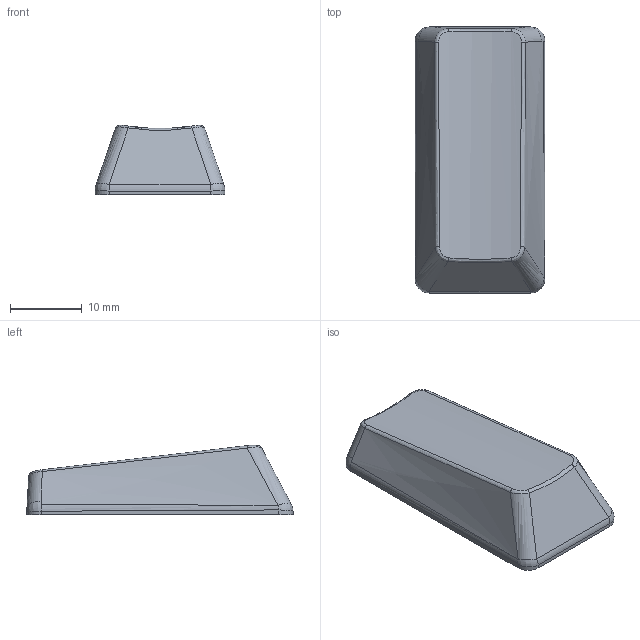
import cadquery as cq
import math

base_width = 18.16
base_length = 37.21
skirt_height = 1.0

rim_width = 12.1
rim_front_y = -13.8
rim_back_y = 18.3
rim_front_z = 10.12
rim_tilt = 6.75

dish_radius = 28.0
dish_depth = 0.85

body_fillet_radius = 2.0
rim_fillet_radius = 0.5

tilt = math.radians(rim_tilt)
rim_length = (rim_back_y - rim_front_y) / math.cos(tilt)
rim_back_z = rim_front_z - (rim_back_y - rim_front_y) * math.tan(tilt)
rim_plane = cq.Plane(
    origin=(0, (rim_front_y + rim_back_y) / 2, (rim_front_z + rim_back_z) / 2),
    xDir=(1, 0, 0),
    normal=(0, math.sin(tilt), math.cos(tilt)),
)
skirt_plane = cq.Plane(origin=(0, 0, skirt_height))


def rectangle_wire(plane, width, length):
    """Closed rectangle centred on the origin of the plane."""
    return cq.Workplane(plane).rect(width, length).val()


def make_sharp_body():
    """Skirt plus the ruled taper from its top edge to the tilted rim, before any rounding."""
    skirt = cq.Workplane("XY").rect(base_width, base_length).extrude(skirt_height)
    foot = rectangle_wire(skirt_plane, base_width, base_length)
    rim = rectangle_wire(rim_plane, rim_width, rim_length)
    taper = cq.Solid.makeLoft([foot, rim], True)
    return skirt.union(cq.Workplane(taper))


def round_body(body):
    """Round the corner edges and the break above the skirt, leaving the foot and the rim sharp."""
    between_foot_and_rim = cq.selectors.BoxSelector(
        (-base_width, -base_length, skirt_height / 4),
        (base_width, base_length, rim_back_z - skirt_height / 4),
    )
    return body.edges(between_foot_and_rim).fillet(body_fillet_radius)


def make_dish_cutter():
    """Cylinder parallel to the slope of the top, reaching dish_depth below the rim plane."""
    dish_plane = cq.Plane(origin=rim_plane.origin, xDir=rim_plane.xDir, normal=-rim_plane.yDir)
    profile = cq.Workplane(dish_plane).center(0, dish_radius - dish_depth).circle(dish_radius)
    return profile.extrude(base_length, both=True)


def round_rim(body):
    """Soften the edge all around the dished top face."""
    return body.faces(">Z").edges().fillet(rim_fillet_radius)


rounded_body = round_body(make_sharp_body())
dished_body = rounded_body.cut(make_dish_cutter())
result = round_rim(dished_body)